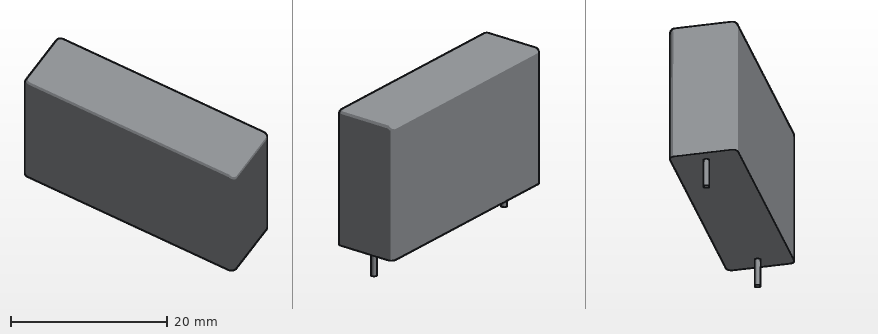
import cadquery as cq

HOUSING_LENGTH = 31.5
HOUSING_WIDTH = 9.0
OVERALL_HEIGHT = 22.8
EDGE_RADIUS = 0.75

PIN_DIAMETER = 0.8
PIN_LENGTH = 3.8
PIN_PITCH = 27.5

HOUSING_HEIGHT = OVERALL_HEIGHT - PIN_LENGTH


def make_housing():
    """Box on Z = 0 with every edge rounded except those of its base."""
    box = cq.Workplane("XY").box(
        HOUSING_LENGTH, HOUSING_WIDTH, HOUSING_HEIGHT, centered=(True, True, False)
    )
    return box.edges("|Z or >Z").fillet(EDGE_RADIUS)


def make_pin(x):
    """Pin hanging from the base at the given X, on the middle line of the housing."""
    return cq.Workplane("XY").center(x, 0).circle(PIN_DIAMETER / 2).extrude(-PIN_LENGTH)


housing = make_housing()
pins = [make_pin(side * PIN_PITCH / 2) for side in (-1, 1)]

result = cq.Compound.makeCompound([housing.val(), *[pin.val() for pin in pins]])